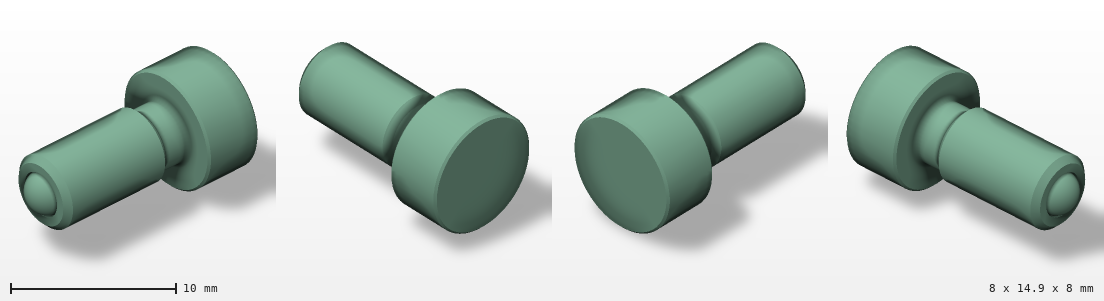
import cadquery as cq
import math

total_length = 14.9
head_diameter = 8.0
head_length = 4.0
head_chamfer = 0.15
shank_diameter = 4.99
shank_chamfer = 0.42
neck_length = 1.8
neck_fillet = 0.31
ball_diameter = 3.0
ball_protrusion = 0.91

head_radius = head_diameter / 2
shank_radius = shank_diameter / 2
neck_radius = shank_radius - shank_chamfer
ball_radius = ball_diameter / 2
tip_face_y = ball_protrusion
head_front_y = total_length - head_length
neck_end_y = head_front_y - neck_length
ball_center_y = ball_radius
socket_depth = ball_diameter - ball_protrusion


def make_screw():
    """Revolved head, neck and shank with a blind socket for the ball."""
    fillet_middle = neck_fillet * (1 - math.sqrt(0.5))
    profile = (
        cq.Workplane("XY")
        .moveTo(0, tip_face_y)
        .lineTo(neck_radius, tip_face_y)
        .lineTo(shank_radius, tip_face_y + shank_chamfer)
        .lineTo(shank_radius, neck_end_y - shank_chamfer)
        .lineTo(neck_radius, neck_end_y)
        .lineTo(neck_radius, head_front_y - neck_fillet)
        .threePointArc(
            (neck_radius + fillet_middle, head_front_y - fillet_middle),
            (neck_radius + neck_fillet, head_front_y),
        )
        .lineTo(head_radius - head_chamfer, head_front_y)
        .lineTo(head_radius, head_front_y + head_chamfer)
        .lineTo(head_radius, total_length - head_chamfer)
        .lineTo(head_radius - head_chamfer, total_length)
        .lineTo(0, total_length)
        .close()
    )
    body = profile.revolve(360, (0, 0, 0), (0, 1, 0))
    socket = cq.Workplane("XZ", origin=(0, tip_face_y, 0)).circle(ball_radius).extrude(-socket_depth)
    return body.cut(socket)


def make_ball():
    """Ball seated in the socket, standing out of the tip face."""
    return cq.Workplane("XY").sphere(ball_radius).translate((0, ball_center_y, 0))


screw = make_screw()
ball = make_ball()

result = cq.Compound.makeCompound([screw.val(), ball.val()])